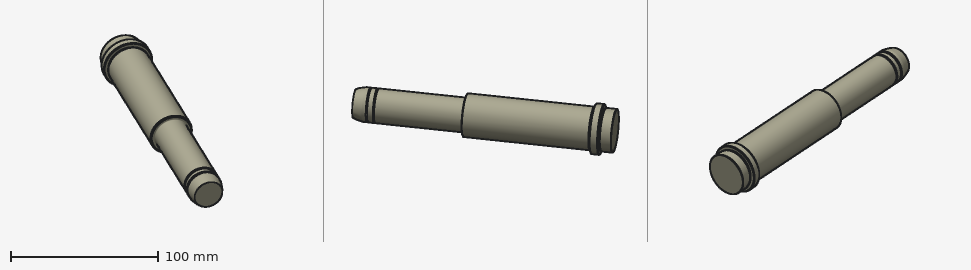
import cadquery as cq

TOTAL_LENGTH = 180.0

FLANGE_DIAMETER = 35.0
BODY_DIAMETER = 30.0
PILOT_DIAMETER = 24.0
NOSE_TIP_DIAMETER = 20.0

FLANGE_START = 8.8
FLANGE_END = 14.8
BODY_END = 103.7
NOSE_START = 173.0

FLANGE_CHAMFER = 0.5
HEAD_CHAMFER = 0.4
BODY_CHAMFER_LENGTH = 0.63
BODY_CHAMFER_HEIGHT = 0.9
SHOULDER_FILLET = 0.5
NOSE_BULGE = 0.27

RELIEF_WIDTH = 1.0
RELIEF_DEPTH = 0.5

GROOVE_CENTERS = (164.9, 169.7)
GROOVE_RADIUS = 0.5

HEAD_END = FLANGE_START - RELIEF_WIDTH
BODY_START = FLANGE_END + RELIEF_WIDTH

body_radius = BODY_DIAMETER / 2
relief_radius = body_radius - RELIEF_DEPTH
flange_radius = FLANGE_DIAMETER / 2
pilot_radius = PILOT_DIAMETER / 2
tip_radius = NOSE_TIP_DIAMETER / 2

section = (
    cq.Workplane("XY")
    .moveTo(0, 0)
    .lineTo(0, body_radius - HEAD_CHAMFER)
    .lineTo(HEAD_CHAMFER, body_radius)
    .lineTo(HEAD_END, body_radius)
    .lineTo(HEAD_END, relief_radius)
    .lineTo(FLANGE_START, relief_radius)
    .lineTo(FLANGE_START, flange_radius - FLANGE_CHAMFER)
    .lineTo(FLANGE_START + FLANGE_CHAMFER, flange_radius)
    .lineTo(FLANGE_END - FLANGE_CHAMFER, flange_radius)
    .lineTo(FLANGE_END, flange_radius - FLANGE_CHAMFER)
    .lineTo(FLANGE_END, relief_radius)
    .lineTo(BODY_START, relief_radius)
    .lineTo(BODY_START, body_radius)
    .lineTo(BODY_END - BODY_CHAMFER_LENGTH, body_radius)
    .lineTo(BODY_END, body_radius - BODY_CHAMFER_HEIGHT)
    .lineTo(BODY_END, pilot_radius + SHOULDER_FILLET)
    .radiusArc((BODY_END + SHOULDER_FILLET, pilot_radius), -SHOULDER_FILLET)
)

for center in GROOVE_CENTERS:
    section = (
        section
        .lineTo(center - GROOVE_RADIUS, pilot_radius)
        .threePointArc((center, pilot_radius - GROOVE_RADIUS), (center + GROOVE_RADIUS, pilot_radius))
    )

section = (
    section
    .lineTo(NOSE_START, pilot_radius)
    .sagittaArc((TOTAL_LENGTH, tip_radius), NOSE_BULGE)
    .lineTo(TOTAL_LENGTH, 0)
    .close()
)

result = section.revolve(360, (0, 0, 0), (1, 0, 0))